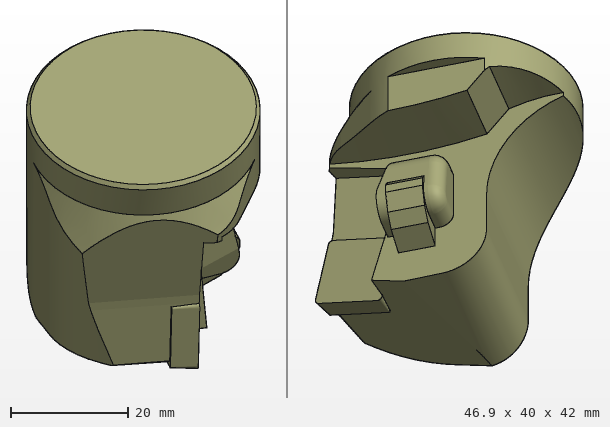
import cadquery as cq
import math


DISK_R = 19.99
DISK_CHAMFER = 0.65
DISK_BOTTOM = -6.55
REACH = 70.3
BODY_BOTTOM = -41.95

FRONT_FLAT_END = 7.87
FRONT_CORNER_ANGLE = 39.5
BACK_LINE_ANGLE = 38.0
BACK_LINE_LENGTH = 8.8
BACK_ARC_R = 10.8
BACK_ARC_ANGLE = 35.0
SKIRT_ANGLE = 35.0

ARM_LEFT = -5.4
FLANK_TOP = -26.2
HEEL_R = 8.0
HEEL_BOTTOM = -41.8
RIDGE_X = 9.37

END_TURN = 14.0
END_FACE_POINTS = [(20.5, DISK_BOTTOM), (22.1, -24.15), (22.45, -25.6), (25.2, -36.1), (24.15, -37.5)]

RELIEF_SLOPE_X = 0.28
RELIEF_SLOPE_Y = 0.096

ARM_BACK = 6.0
SHELF_BACK = 18.05
RIM_BOTTOM = -6.1
SHELF_CROWN = (-14.05, -6.75)
SHELF_EDGE = (-9.37, -7.85)
SHELF_TOE = (-5.5, -12.5)
SHELF_LOW = (13.12, -13.6)
SHELF_END = (23.45, -12.37)

BOSS_LEFT = 0.45
BOSS_LENGTH = 11.7
BOSS_TOP = -18.2
BOSS_TOP_END = (8.45, BOSS_TOP)
BOSS_SHOULDER = (11.0, -19.4)
BOSS_SIDE_TOP = (12.2, -21.8)
BOSS_SIDE_BOTTOM = (13.05, -27.65)
BOSS_LOWER_CORNER = (12.1, -30.35)
BOSS_BOTTOM = -31.4
BOSS_BOTTOM_END = (9.6, BOSS_BOTTOM)
BOSS_ROUND = 2.5
TAIL_LEFT = 3.75
TAIL_LENGTH = 6.55
TAIL_TOP = -25.08
TAIL_OUTLINE = [(12.65, TAIL_TOP), (13.8, -26.5), (13.8, -28.1), (12.4, -31.5), (10.3, -33.65)]
TAIL_BOTTOM = -35.4

INSERT_SIDE = 12.7
INSERT_THICKNESS = 4.8
INSERT_RELIEF = 7.0
INSERT_CORNER_R = 0.8
INSERT_TIP = (27.05, 0.0, -37.82)
INSERT_NORMAL = cq.Vector(0.12, 1.0, -0.086)
INSERT_LEAN = 14.0
RAKE_HEIGHT = 25.3


def make_block():
    """Body outline as a prism below the disk."""
    corner = math.radians(FRONT_CORNER_ANGLE)
    corner_x = FRONT_FLAT_END + DISK_R * math.sin(corner)
    corner_y = -DISK_R * math.cos(corner)
    half = corner / 2
    corner_mid = (FRONT_FLAT_END + DISK_R * math.sin(half), -DISK_R * math.cos(half))

    normal = math.radians(90 - BACK_LINE_ANGLE)
    tangent = (DISK_R * math.cos(normal), DISK_R * math.sin(normal))
    line_end = (tangent[0] + BACK_LINE_LENGTH * math.sin(normal),
                tangent[1] - BACK_LINE_LENGTH * math.cos(normal))
    center = (line_end[0] - BACK_ARC_R * math.cos(normal),
              line_end[1] - BACK_ARC_R * math.sin(normal))

    def back_arc_point(turn):
        angle = normal - math.radians(turn)
        return (center[0] + BACK_ARC_R * math.cos(angle), center[1] + BACK_ARC_R * math.sin(angle))

    far_x = INSERT_TIP[0]
    far_y = corner_y + (far_x - corner_x) * math.tan(corner)
    return (
        cq.Workplane("XY").workplane(offset=DISK_BOTTOM)
        .moveTo(0, -DISK_R)
        .lineTo(FRONT_FLAT_END, -DISK_R)
        .threePointArc(corner_mid, (corner_x, corner_y))
        .lineTo(far_x, far_y)
        .lineTo(far_x, 0)
        .lineTo(*back_arc_point(BACK_ARC_ANGLE))
        .threePointArc(back_arc_point(BACK_ARC_ANGLE / 2), line_end)
        .lineTo(*tangent)
        .threePointArc((-DISK_R, 0), (0, -DISK_R))
        .close()
        .extrude(BODY_BOTTOM - DISK_BOTTOM)
    )


def make_skirt():
    """Cone that limits the body just below the disk."""
    depth = DISK_BOTTOM - BODY_BOTTOM
    bottom_r = DISK_R + depth * math.tan(math.radians(SKIRT_ANGLE))
    return (
        cq.Workplane("XZ")
        .polyline([(0, DISK_BOTTOM), (DISK_R, DISK_BOTTOM), (bottom_r, BODY_BOTTOM), (0, BODY_BOTTOM)])
        .close()
        .revolve(360, (0, 0, 0), (0, 1, 0))
    )


def make_end_limit():
    """Material kept inside the faceted end face."""
    turn = math.radians(END_TURN)
    plane = cq.Plane(
        origin=(0, 0, 0),
        xDir=(math.cos(turn), -math.sin(turn), 0),
        normal=(-math.sin(turn), -math.cos(turn), 0),
    )
    last_d = END_FACE_POINTS[-1][0]
    outline = [(-REACH, DISK_BOTTOM), *END_FACE_POINTS, (last_d, BODY_BOTTOM), (-REACH, BODY_BOTTOM)]
    return cq.Workplane(plane).polyline(outline).close().extrude(REACH, both=True)


def make_arm_cut():
    """Space to the left of and below the arm."""
    throat_x = ARM_LEFT - DISK_R
    half = math.sqrt(0.5)
    heel_x = ARM_LEFT + HEEL_R
    heel_z = HEEL_BOTTOM + HEEL_R
    return (
        cq.Workplane("XZ", origin=(0, ARM_BACK, 0))
        .moveTo(throat_x, FLANK_TOP + DISK_R)
        .threePointArc((throat_x + DISK_R * half, FLANK_TOP + DISK_R * half), (ARM_LEFT, FLANK_TOP))
        .lineTo(ARM_LEFT, heel_z)
        .threePointArc((heel_x - HEEL_R * half, heel_z - HEEL_R * half), (heel_x, HEEL_BOTTOM))
        .lineTo(RIDGE_X, BODY_BOTTOM)
        .lineTo(RIDGE_X, -REACH)
        .lineTo(throat_x, -REACH)
        .close()
        .extrude(REACH)
    )


def make_relief_cut():
    """Half-space below the sloped underside."""
    plane = cq.Plane(
        origin=(RIDGE_X, ARM_BACK, BODY_BOTTOM),
        xDir=(1, 0, RELIEF_SLOPE_X),
        normal=(RELIEF_SLOPE_X, -RELIEF_SLOPE_Y, -1),
    )
    return cq.Workplane(plane).rect(2 * REACH, 2 * REACH).extrude(REACH)


def make_gullet_cut():
    """Space behind the arm, under the shelf and under the back rim."""
    under_shelf = (
        cq.Workplane("XZ", origin=(0, SHELF_BACK, 0))
        .moveTo(-DISK_R, DISK_BOTTOM)
        .threePointArc(SHELF_CROWN, SHELF_EDGE)
        .lineTo(*SHELF_TOE)
        .threePointArc(SHELF_LOW, SHELF_END)
        .lineTo(REACH, SHELF_END[1])
        .lineTo(REACH, -REACH)
        .lineTo(-DISK_R, -REACH)
        .close()
        .extrude(SHELF_BACK - ARM_BACK)
    )
    under_rim = cq.Workplane("XY").box(2 * REACH, REACH, REACH, centered=(True, False, False))
    return under_shelf.union(under_rim.translate((0, SHELF_BACK, RIM_BOTTOM - REACH)))


def make_boss():
    """Rounded boss and its tapered tail on the back of the arm."""
    boss = (
        cq.Workplane("YZ", origin=(BOSS_LEFT, 0, 0))
        .moveTo(ARM_BACK, BOSS_TOP)
        .lineTo(*BOSS_TOP_END)
        .threePointArc(BOSS_SHOULDER, BOSS_SIDE_TOP)
        .lineTo(*BOSS_SIDE_BOTTOM)
        .threePointArc(BOSS_LOWER_CORNER, BOSS_BOTTOM_END)
        .lineTo(ARM_BACK, BOSS_BOTTOM)
        .close()
        .extrude(BOSS_LENGTH)
        .faces("<X").edges("not <Y").fillet(BOSS_ROUND)
    )
    tail = (
        cq.Workplane("YZ", origin=(TAIL_LEFT, 0, 0))
        .polyline([(ARM_BACK, TAIL_TOP), *TAIL_OUTLINE, (ARM_BACK, TAIL_BOTTOM)])
        .close()
        .extrude(TAIL_LENGTH)
    )
    return boss.union(tail)


def insert_plane():
    """Insert top face: local X runs inward along the bottom edge, local Y upward."""
    lean = math.radians(INSERT_LEAN)
    inward = cq.Vector(-math.cos(lean), 0, -math.sin(lean))
    unit_normal = INSERT_NORMAL.normalized()
    inward = inward - unit_normal * inward.dot(unit_normal)
    return cq.Plane(origin=INSERT_TIP, xDir=inward, normal=unit_normal)


def make_insert():
    """Square insert with tapered sides and rounded corners."""
    outline = (
        cq.Sketch()
        .push([(INSERT_SIDE / 2, INSERT_SIDE / 2)])
        .rect(INSERT_SIDE, INSERT_SIDE)
        .reset()
        .vertices()
        .fillet(INSERT_CORNER_R)
    )
    return cq.Workplane(insert_plane()).placeSketch(outline).extrude(-INSERT_THICKNESS, taper=INSERT_RELIEF)


def make_rake_cut():
    """Clear space over the insert and the wall above it."""
    return (
        cq.Workplane(insert_plane())
        .rect(2 * INSERT_SIDE, 2 * RAKE_HEIGHT)
        .extrude(REACH)
    )


def make_holder(insert):
    body = make_block().intersect(make_skirt()).intersect(make_end_limit())
    disk = cq.Workplane("XY").circle(DISK_R).extrude(DISK_BOTTOM).faces(">Z").chamfer(DISK_CHAMFER)
    body = body.union(disk)
    body = body.cut(make_arm_cut()).cut(make_relief_cut()).cut(make_gullet_cut())
    body = body.union(make_boss())
    return body.cut(make_rake_cut()).cut(insert)


insert = make_insert()
holder = make_holder(insert)
result = cq.Compound.makeCompound([holder.solids().val(), insert.val()])